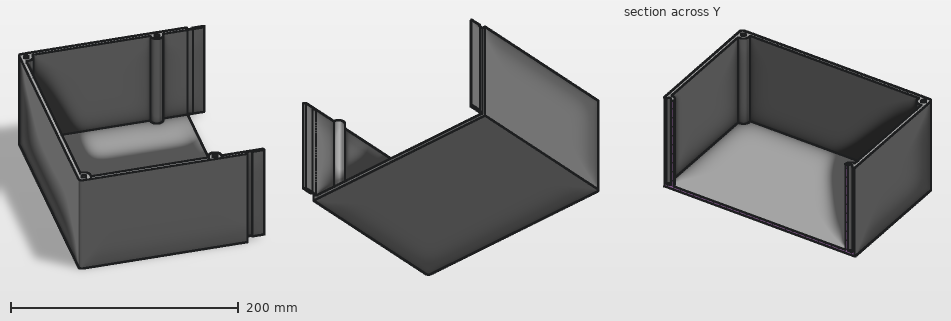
import cadquery as cq

width = 200.0
total_length = 169.2
height = 95.0
tongue_length = 15.8
box_length = total_length - tongue_length

wall = 4.0
floor = 4.0
corner_radius = 3.0

neck_thickness = 1.0
head_thickness = 2.2
head_length = 10.8
tip_setback = 1.0

hole_diameter = 4.2
hole_depth = height - floor
front_post_radius = 6.2
front_post_inset = 5.5
rear_post_radius = 5.8
rear_post_inset = 4.5
rear_hole_inset = 5.0
rear_post_setback = 28.5

half_width = width / 2
inner_half_width = half_width - wall
rear_post_y = box_length - rear_post_setback


def block(x_start, x_end, y_start, y_end, z_start, z_end):
    """Box between two opposite corners."""
    size = (x_end - x_start, y_end - y_start, z_end - z_start)
    return cq.Workplane("XY").box(*size, centered=False).translate((x_start, y_start, z_start))


def make_outer_block():
    """Outer envelope of the tray with its front corners rounded."""
    envelope = block(-half_width, half_width, 0, box_length, 0, height)
    return envelope.edges("|Z and <Y").fillet(corner_radius)


def make_tray():
    """Tray hollowed out above the floor and through the rear side."""
    cavity = block(-inner_half_width, inner_half_width, wall, box_length, floor, height)
    return make_outer_block().cut(cavity)


def make_posts():
    """Four posts standing on the floor, trimmed to the tray's envelope."""
    front_x = half_width - front_post_inset
    rear_x = half_width - rear_post_inset
    base = cq.Workplane("XY").workplane(offset=floor)
    post_height = height - floor
    front = base.pushPoints([(-front_x, front_post_inset), (front_x, front_post_inset)])
    rear = base.pushPoints([(-rear_x, rear_post_y), (rear_x, rear_post_y)])
    posts = front.circle(front_post_radius).extrude(post_height)
    posts = posts.union(rear.circle(rear_post_radius).extrude(post_height))
    return posts.intersect(make_outer_block())


def make_screw_holes():
    """Blind holes from the top of the posts down to the floor."""
    front_x = half_width - front_post_inset
    rear_x = half_width - rear_hole_inset
    centres = []
    for side in (-1, 1):
        centres.append((side * front_x, front_post_inset))
        centres.append((side * rear_x, rear_post_y))
    top = cq.Workplane("XY").workplane(offset=height)
    return top.pushPoints(centres).circle(hole_diameter / 2).extrude(-hole_depth)


def make_left_tongue():
    """Thin neck with a thicker, slant-tipped head, flush with the inner face of the left wall."""
    inner_x = -inner_half_width
    neck_x = inner_x - neck_thickness
    head_x = inner_x - head_thickness
    head_start = total_length - head_length
    outline = [
        (inner_x, box_length),
        (neck_x, box_length),
        (neck_x, head_start),
        (head_x, head_start),
        (head_x, total_length),
        (inner_x, total_length - tip_setback),
    ]
    base = cq.Workplane("XY").workplane(offset=floor)
    return base.polyline(outline).close().extrude(height - floor)


left_tongue = make_left_tongue()
right_tongue = left_tongue.mirror("YZ")
result = make_tray().union(make_posts()).union(left_tongue).union(right_tongue)
result = result.cut(make_screw_holes())